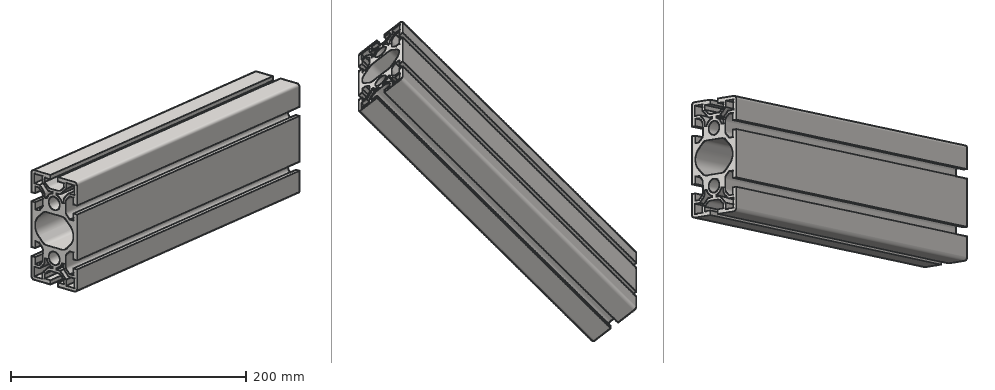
import cadquery as cq
import math

length = 300.0
module = 50.0
half_width = module / 2
module_centre_z = module / 2
corner_radius = 3.0

slot_opening = 8.2
lip_thickness = 4.0
slot_depth = 12.5
slot_inner_half = 10.5
slot_diagonal_offset = 6.5
slot_floor_radius = 5.0

core_hole_diameter = 12.0
core_boss_radius = 8.8

chamber_outer_inset = 3.1
chamber_inner_edge = 13.0
channel_lower_offset = 3.0
channel_upper_offset = 3.35
channel_roof = 9.8
channel_nose_x = 2.3
channel_floor = 2.6
channel_side_x = 10.3
channel_bend_radius = 7.0

cavity_half_height = 15.1
cavity_half_width = 21.0
cavity_diagonal = 26.1
cavity_corner_radius = 6.25

overlap = 1.0


def extrude_section(section):
    """Extrude a section drawn in XZ along the full length, centred on Y."""
    return section.extrude(length / 2, both=True)


def section_plane():
    return cq.Workplane("XZ")


def make_blank():
    blank = extrude_section(section_plane().rect(module, 2 * module))
    return blank.edges("|Y").fillet(corner_radius)


def make_opening(inner_end):
    """Narrow slot mouth through the upper face of a module centred on the origin."""
    height = half_width + overlap - inner_end
    mouth = section_plane().center(0, inner_end + height / 2).rect(slot_opening, height)
    return extrude_section(mouth)


def make_slot():
    """T-slot opening toward +Z, its 45 degree walls rounded into the floor."""
    floor = half_width - slot_depth
    top = half_width - lip_thickness
    floor_corner_x = floor - slot_diagonal_offset
    section = (
        section_plane()
        .moveTo(slot_inner_half, top)
        .lineTo(slot_inner_half, slot_inner_half + slot_diagonal_offset)
        .lineTo(floor_corner_x, floor)
        .lineTo(-floor_corner_x, floor)
        .lineTo(-slot_inner_half, slot_inner_half + slot_diagonal_offset)
        .lineTo(-slot_inner_half, top)
        .close()
    )
    chamber = extrude_section(section)
    chamber = chamber.faces("<Z").edges("|Y").fillet(slot_floor_radius)
    return chamber.union(make_opening(top))


def make_corner_chamber():
    """Corner chamber and channel on the +X +Z side of a module centred on the origin."""
    outer = half_width - chamber_outer_inset
    inner = chamber_inner_edge
    nose_z = math.sqrt(core_boss_radius**2 - channel_nose_x**2)
    foot_x = math.sqrt(core_boss_radius**2 - channel_floor**2)
    boss_middle = core_boss_radius * math.sqrt(0.5)
    section = (
        section_plane()
        .moveTo(outer, outer)
        .lineTo(outer, inner)
        .lineTo(inner + channel_lower_offset, inner)
        .lineTo(channel_side_x, channel_side_x - channel_lower_offset)
        .lineTo(channel_side_x, channel_floor)
        .lineTo(foot_x, channel_floor)
        .threePointArc((boss_middle, boss_middle), (channel_nose_x, nose_z))
        .lineTo(channel_nose_x, channel_roof)
        .lineTo(channel_roof - channel_upper_offset, channel_roof)
        .lineTo(inner, inner + channel_upper_offset)
        .lineTo(inner, outer)
        .close()
    )
    chamber = extrude_section(section)
    bend_x = channel_side_x
    bend_z = channel_side_x - channel_lower_offset
    bend_edge = chamber.edges(cq.selectors.NearestToPointSelector((bend_x, 0, bend_z)))
    return bend_edge.fillet(channel_bend_radius)


def make_core_hole():
    return extrude_section(section_plane().circle(core_hole_diameter / 2))


def make_cavity():
    """Central cavity: flat ends, 45 degree walls with rounded corners, bowed sides."""
    side_radius = (cavity_diagonal - cavity_half_width) / (math.sqrt(2) - 1)
    side_centre = cavity_half_width - side_radius
    tangent_z = side_radius * math.sqrt(0.5)
    tangent_x = side_centre + tangent_z
    corner_x = cavity_diagonal - cavity_half_height
    section = (
        section_plane()
        .moveTo(-corner_x, cavity_half_height)
        .lineTo(corner_x, cavity_half_height)
        .lineTo(tangent_x, tangent_z)
        .threePointArc((cavity_half_width, 0), (tangent_x, -tangent_z))
        .lineTo(corner_x, -cavity_half_height)
        .lineTo(-corner_x, -cavity_half_height)
        .lineTo(-tangent_x, -tangent_z)
        .threePointArc((-cavity_half_width, 0), (-tangent_x, tangent_z))
        .close()
    )
    cavity = extrude_section(section)
    flat_end_edges = cavity.faces("<Z or >Z").edges("|Y")
    return flat_end_edges.fillet(cavity_corner_radius)


def make_module_cutters():
    """All cutters of the upper module, in the position of the finished part."""
    end_slot = make_slot()
    side_slot = end_slot.rotate((0, 0, 0), (0, 1, 0), 90)
    corner_chamber = make_corner_chamber()
    cutters = [
        make_core_hole(),
        end_slot,
        side_slot,
        side_slot.mirror("YZ"),
        corner_chamber,
        corner_chamber.mirror("YZ"),
    ]
    return [cutter.translate((0, 0, module_centre_z)) for cutter in cutters]


result = make_blank().cut(make_cavity())
for module_cutter in make_module_cutters():
    result = result.cut(module_cutter).cut(module_cutter.mirror("XY"))